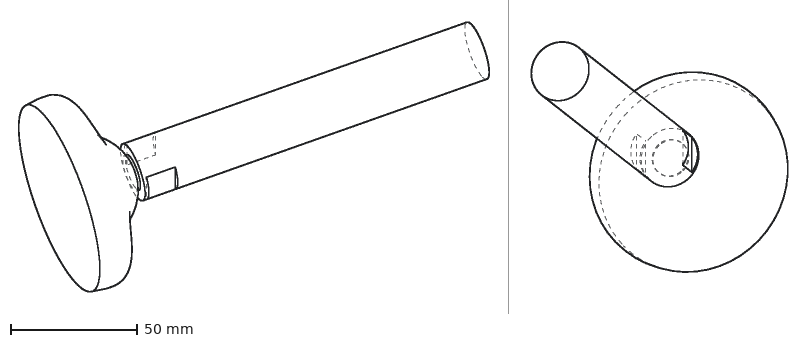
import cadquery as cq
import math

total_length = 181.5
foot_radius = 40.02
sole_radius = 39.2

rim_height = 5.8
shoulder_start = 8.7
cone_top = 21.8
dome_base = 22.9

shoulder_radius = 7.6
cone_angle = math.radians(21)
dome_radius = 22.5
dome_center = 9.6

neck_radius = 7.5
neck_bottom = 29.0
stem_radius = 12.0
stem_bottom = 32.0

flat_offset = 9.6
flat_bottom = 33.5
flat_length = 12.5


def shoulder_point(angle):
    """Point on the shoulder arc, with the angle measured from the foot axis."""
    return (
        foot_radius - shoulder_radius + shoulder_radius * math.sin(angle),
        shoulder_start + shoulder_radius * math.cos(angle),
    )


def dome_point(height):
    """Point on the dome sphere at a height above the sole."""
    return (math.sqrt(dome_radius**2 - (height - dome_center) ** 2), height)


def make_foot():
    shoulder_end = shoulder_point(cone_angle)
    shoulder_middle = shoulder_point((cone_angle + math.pi / 2) / 2)
    cone_top_radius = shoulder_end[0] - (cone_top - shoulder_end[1]) / math.tan(cone_angle)
    dome_top = dome_center + dome_radius
    profile = (
        cq.Workplane("XY")
        .lineTo(sole_radius, 0)
        .lineTo(foot_radius, rim_height)
        .lineTo(foot_radius, shoulder_start)
        .threePointArc(shoulder_middle, shoulder_end)
        .lineTo(cone_top_radius, cone_top)
        .lineTo(*dome_point(dome_base))
        .threePointArc(dome_point((dome_base + dome_top) / 2), (0, dome_top))
        .close()
    )
    return profile.revolve(360, (0, 0, 0), (0, 1, 0))


def make_rod(radius, bottom, top):
    """Round rod on the Y axis between two heights."""
    return cq.Workplane("XZ", origin=(0, bottom, 0)).circle(radius).extrude(bottom - top)


def make_stem():
    stem = make_rod(stem_radius, stem_bottom, total_length)
    cut_depth = stem_radius
    for side in (-1, 1):
        cutter = cq.Workplane("XY").box(cut_depth, flat_length, 2 * stem_radius).translate(
            (side * (flat_offset + cut_depth / 2), flat_bottom + flat_length / 2, 0)
        )
        stem = stem.cut(cutter)
    return stem


neck = make_rod(neck_radius, neck_bottom, stem_bottom)
result = make_foot().union(neck).union(make_stem())